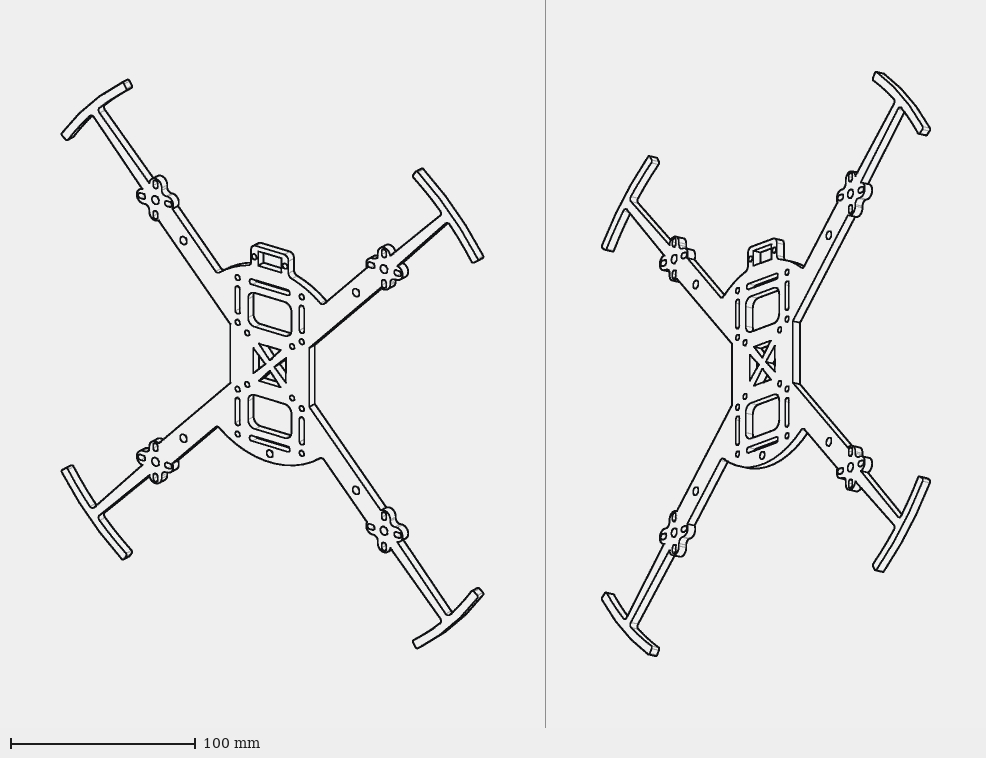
import cadquery as cq
import math


thickness = 5.0
half_span = 141.0
arm_angles = (45, 135, 225, 315)

body_radius = 57.3
body_width = 53.5
notch_fillet = 2.0

tab_width = 25.5
tab_top = 68.3
tab_corner_fillet = 3.0
tab_root_fillet = 2.8
tab_window_width = 15.8
tab_window_bottom = 57.0
tab_window_top = 65.5
tab_hole_x = 10.5
tab_hole_z = 61.5

screw_diameter = 3.0
outer_screw_x = 21.7
outer_screw_z = (19.8, 46.3)
inner_screw_offset = 15.2
slot_width = 3.0
side_slot_length = 16.5
end_slot_length = 27.5
window_width = 29.4
window_height = 20.0
window_z = 30.2
window_corner_radius = 4.5
tail_hole_diameter = 4.2
tail_hole_z = -52.2

brace_half_side = 11.0
brace_apex = 3.0
brace_half_base = 7.3

arm_width = 13.3
arm_hole_diameter = 4.5
arm_hole_radius = 82.7
tip_arm_root_width = 7.0
tip_arm_end_width = 5.0

mount_radius = 109.5
shaft_hole_diameter = 4.8
lobe_width = 8.5
inner_lobe_reach = 8.0
outer_lobe_reach = 8.5
lobe_fillet = 2.8
mount_slot_length = 4.8
mount_slot_wall = 1.0

bumper_outer_radius = 173.0
bumper_width = 5.0
bumper_corner_fillet = 1.0
bumper_root_fillet = 2.0
bumper_inner_radius = bumper_outer_radius - bumper_width


def sketch_plane(x=0.0, z=0.0):
    """Sketch on the mid-plane of the frame, with its origin at (x, z)."""
    return cq.Workplane("XZ").center(x, z)


def plate(outline):
    """Extrude a closed outline to the plate thickness, centred on Y = 0."""
    return outline.extrude(thickness / 2, both=True)


def turn(shape, angle, x=0.0):
    """Turn a shape from +X towards +Z about the point (x, 0)."""
    return shape.rotate((x, 0, 0), (x, -1, 0), angle)


def fillet_at(solid, points, radius):
    """Round the through-thickness edges standing at the given (x, z) points."""
    for x, z in points:
        edge = cq.selectors.NearestToPointSelector((x, 0, z))
        solid = solid.edges("|Y").edges(edge).fillet(radius)
    return solid


def bumper():
    corner_radius = bumper_outer_radius - bumper_corner_fillet
    corner_angle = math.asin((half_span - bumper_corner_fillet) / corner_radius)
    corner_inset = math.asin(bumper_corner_fillet / corner_radius)
    half_angle = corner_angle + corner_inset - math.radians(45)

    def polar(radius, angle):
        return (radius * math.cos(angle), radius * math.sin(angle))

    outline = (
        sketch_plane()
        .moveTo(*polar(bumper_inner_radius, -half_angle))
        .lineTo(*polar(bumper_outer_radius, -half_angle))
        .threePointArc((bumper_outer_radius, 0), polar(bumper_outer_radius, half_angle))
        .lineTo(*polar(bumper_inner_radius, half_angle))
        .threePointArc((bumper_inner_radius, 0), polar(bumper_inner_radius, -half_angle))
        .close()
    )
    return plate(outline).edges("|Y").fillet(bumper_corner_fillet)


def tip_arm():
    """Slender tapered arm from the motor mount out to the bumper."""
    end_x = bumper_outer_radius - bumper_width / 2
    outline = sketch_plane().polyline([
        (mount_radius, -tip_arm_root_width / 2),
        (end_x, -tip_arm_end_width / 2),
        (end_x, tip_arm_end_width / 2),
        (mount_radius, tip_arm_root_width / 2),
    ]).close()
    tip = plate(outline).union(bumper())
    root_z = tip_arm_end_width / 2
    root_x = math.sqrt(bumper_inner_radius**2 - root_z**2)
    return fillet_at(tip, [(root_x, root_z), (root_x, -root_z)], bumper_root_fillet)


def lobe_reach(angle):
    """Distance from the mount centre to a lobe's end centre; the outer pair reach further."""
    points_outward = math.cos(math.radians(angle)) > 0
    return outer_lobe_reach if points_outward else inner_lobe_reach


def mount_lobes():
    """Four round-ended lobes in a cross, at 45 degrees to the arm."""
    lobes = plate(sketch_plane(mount_radius).rect(lobe_width, lobe_width))
    lobes = turn(lobes, 45, mount_radius)
    for angle in arm_angles:
        reach = lobe_reach(angle)
        bar = plate(sketch_plane(mount_radius + reach / 2).rect(reach, lobe_width))
        end = plate(sketch_plane(mount_radius + reach).circle(lobe_width / 2))
        lobes = lobes.union(turn(bar.union(end), angle, mount_radius))
    corner_offset = lobe_width / 2 * math.sqrt(2)
    side_corners = [(mount_radius, corner_offset), (mount_radius, -corner_offset)]
    return fillet_at(lobes, side_corners, lobe_fillet)


def arm():
    length = mount_radius - inner_lobe_reach / math.sqrt(2)
    inner_arm = plate(sketch_plane(length / 2).rect(length, arm_width))
    return inner_arm.union(mount_lobes()).union(tip_arm())


def arm_openings():
    holes = plate(sketch_plane(arm_hole_radius).circle(arm_hole_diameter / 2))
    holes = holes.union(plate(sketch_plane(mount_radius).circle(shaft_hole_diameter / 2)))
    for angle in arm_angles:
        lobe_end = lobe_reach(angle) + lobe_width / 2
        slot_x = mount_radius + lobe_end - mount_slot_wall - mount_slot_length / 2
        slot = plate(sketch_plane(slot_x).slot2D(mount_slot_length, slot_width))
        holes = holes.union(turn(slot, angle, mount_radius))
    return holes


def body():
    """Disc trimmed by straight sides, with the four arms added."""
    half_width = body_width / 2
    arm_offset = arm_width / math.sqrt(2)
    side_z = half_width - arm_offset
    disc = plate(sketch_plane().circle(body_radius))
    for side in (1, -1):
        side_cut = sketch_plane().polyline([
            (side * half_width, side_z),
            (side * (half_width + body_radius), side_z + body_radius),
            (side * (half_width + body_radius), -side_z - body_radius),
            (side * half_width, -side_z),
        ]).close()
        disc = disc.cut(plate(side_cut))
    for angle in arm_angles:
        disc = disc.union(turn(arm(), angle))

    notch_angle = math.radians(45) + math.asin(arm_width / 2 / body_radius)
    notch_x = body_radius * math.cos(notch_angle)
    notch_z = body_radius * math.sin(notch_angle)
    notches = [(sx * notch_x, sz * notch_z) for sx in (1, -1) for sz in (1, -1)]
    return fillet_at(disc, notches, notch_fillet)


def add_tab(frame):
    tab = plate(sketch_plane(0, tab_top / 2).rect(tab_width, tab_top))
    tab = tab.edges("|Y and >Z").fillet(tab_corner_fillet)
    root_x = tab_width / 2
    root_z = math.sqrt(body_radius**2 - root_x**2)
    return fillet_at(frame.union(tab), [(root_x, root_z), (-root_x, root_z)], tab_root_fillet)


def tab_openings():
    window_mid = (tab_window_bottom + tab_window_top) / 2
    window_depth = tab_window_top - tab_window_bottom
    window = plate(sketch_plane(0, window_mid).rect(tab_window_width, window_depth))
    holes = sketch_plane().pushPoints([(-tab_hole_x, tab_hole_z), (tab_hole_x, tab_hole_z)])
    return window.union(plate(holes.circle(screw_diameter / 2)))


def body_openings():
    points = []
    for sx in (1, -1):
        for sz in (1, -1):
            points.append((sx * inner_screw_offset, sz * inner_screw_offset))
            points += [(sx * outer_screw_x, sz * z) for z in outer_screw_z]
    openings = plate(sketch_plane().pushPoints(points).circle(screw_diameter / 2))

    slot_mid_z = sum(outer_screw_z) / 2
    for sz in (1, -1):
        window = plate(sketch_plane(0, sz * window_z).rect(window_width, window_height))
        openings = openings.union(window.edges("|Y").fillet(window_corner_radius))
        end_slot = sketch_plane(0, sz * outer_screw_z[1]).slot2D(end_slot_length, slot_width)
        openings = openings.union(plate(end_slot))
        side_slots = sketch_plane().pushPoints([
            (-outer_screw_x, sz * slot_mid_z),
            (outer_screw_x, sz * slot_mid_z),
        ]).slot2D(side_slot_length, slot_width, 90)
        openings = openings.union(plate(side_slots))
    return openings.union(plate(sketch_plane(0, tail_hole_z).circle(tail_hole_diameter / 2)))


def brace_openings():
    """Four triangles that leave a diagonal cross inside a square."""
    triangle = plate(sketch_plane().polyline([
        (brace_apex, 0),
        (brace_half_side, brace_half_base),
        (brace_half_side, -brace_half_base),
    ]).close())
    openings = triangle
    for angle in (90, 180, 270):
        openings = openings.union(turn(triangle, angle))
    return openings


result = add_tab(body())
for opening in (tab_openings(), body_openings(), brace_openings()):
    result = result.cut(opening)
for arm_angle in arm_angles:
    result = result.cut(turn(arm_openings(), arm_angle))